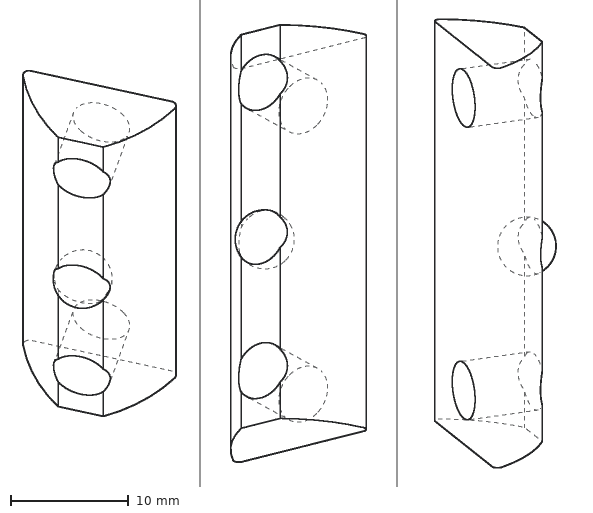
import cadquery as cq
import math

bar_length = 36.0
bar_width = 13.45
bar_depth = 6.4
front_flat_width = 4.0
corner_radius = 0.5
flank_start_angle = 24.0

hole_diameter = 5.0
hole_spacing = 26.35

ball_radius = hole_diameter / 2
overall_depth = 8.3
ball_y = ball_radius - overall_depth
ball_z = -0.97


def make_ball():
    return cq.Workplane("XY").sphere(ball_radius).translate((0, ball_y, ball_z))


def make_bar_blank():
    """Extrude the section: flat back, rounded corners, bowed flanks and flat front."""
    corner_x = bar_width / 2 - corner_radius
    angle = math.radians(flank_start_angle)
    flank_start_x = corner_x + corner_radius * math.cos(angle)
    flank_start_y = -corner_radius * (1 + math.sin(angle))

    half_section = (
        cq.Workplane("XY")
        .workplane(offset=-bar_length / 2)
        .lineTo(corner_x, 0)
        .tangentArcPoint((flank_start_x, flank_start_y), relative=False)
        .tangentArcPoint((front_flat_width / 2, -bar_depth), relative=False)
        .lineTo(0, -bar_depth)
    )
    return half_section.mirrorY().extrude(bar_length)


def make_through_holes():
    return (
        cq.Workplane("XZ")
        .pushPoints([(0, -hole_spacing / 2), (0, hole_spacing / 2)])
        .circle(hole_diameter / 2)
        .extrude(bar_depth)
    )


ball = make_ball()
bar = make_bar_blank().cut(make_through_holes()).cut(ball)

result = cq.Compound.makeCompound([bar.solids().val(), ball.val()])